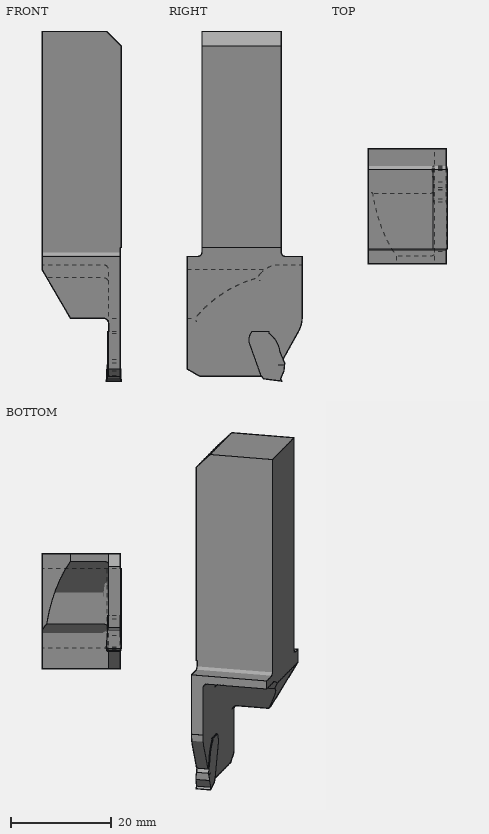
import cadquery as cq

total_height = 69.85
shank_width = 15.85
shank_chamfer = 2.9
shank_bottom = 26.7

head_width = 15.65
head_front = -2.9
head_back = 20.05
head_top = 24.95
shoulder_radius = 0.85
taper_top = 22.3
taper_foot_x = 5.65
head_bottom = 12.6

blade_left = 13.3
blade_bottom = 1.0
blade_corner_z = 11.3
blade_toe_y = 14.3
blade_corner_radius = 5.7
toe_chamfer_y = 2.5
toe_chamfer_z = 1.5
wall_fillet = 1.05

wall_back_z = 23.25
wall_arc_start = (15.45, wall_back_z)
wall_cusp = (11.1, 20.7)
wall_sweep_middle = (5.0, 18.1)
wall_sweep_end = (-1.4, head_bottom)

insert_middle_x = 14.3
insert_thickness = 2.5
tip_width = 3.1
insert_tip = (16.0, 0)
insert_heel = (12.3, 0.5)
crease_end = (15.3, 3.3)


def prism_along_x(sketch, x_start, x_end):
    """Extrude a closed (Y, Z) outline between two X positions."""
    return sketch.extrude(x_end - x_start).translate((x_start, 0, 0))


def insert_outline():
    """Outline of the insert and of its seat, starting at the cutting tip."""
    return (
        cq.Workplane("YZ")
        .moveTo(*insert_tip)
        .lineTo(15.7, 0.5)
        .lineTo(16.4, 2.1)
        .lineTo(16.55, 3.6)
        .lineTo(15.6, 5.9)
        .threePointArc((14.75, 8.2), (13.4, 9.6))
        .lineTo(13.4, 10.0)
        .lineTo(10.05, 10.0)
        .threePointArc((9.5, 9.0), (9.5, 7.55))
        .lineTo(11.8, 1.1)
        .lineTo(*insert_heel)
        .close()
    )


def make_shank():
    shank = cq.Workplane("XY").box(
        shank_width, shank_width, total_height - shank_bottom, centered=False
    ).translate((0, 0, shank_bottom))
    shank = shank.edges(">X and >Z").chamfer(shank_chamfer)
    neck = cq.Workplane("XY").box(
        head_width, shank_width, shank_bottom - head_top, centered=False
    ).translate((0, 0, head_top))
    return shank.union(neck)


def make_head():
    profile = [
        (0, head_top),
        (0, taper_top),
        (taper_foot_x, head_bottom),
        (head_width, head_bottom),
        (head_width, head_top),
    ]
    block = cq.Workplane("XZ", origin=(0, head_back, 0)).polyline(profile).close()
    return block.extrude(head_back - head_front)


def make_clearance():
    """Space left of the blade and below the curved wall."""
    outline = (
        cq.Workplane("YZ")
        .moveTo(head_back, wall_back_z)
        .lineTo(*wall_arc_start)
        .tangentArcPoint(wall_cusp, relative=False)
        .threePointArc(wall_sweep_middle, wall_sweep_end)
        .lineTo(head_front, head_bottom)
        .lineTo(head_front, blade_bottom)
        .lineTo(head_back, blade_bottom)
        .close()
    )
    return prism_along_x(outline, 0, blade_left)


def make_blade():
    outline = cq.Workplane("YZ").polyline([
        (head_back, head_bottom + wall_fillet),
        (head_back, blade_corner_z),
        (blade_toe_y, blade_bottom),
        (head_front + toe_chamfer_y, blade_bottom),
        (head_front, blade_bottom + toe_chamfer_z),
        (head_front, head_bottom + wall_fillet),
    ]).close()
    blade = prism_along_x(outline, blade_left, head_width)
    corner = cq.selectors.NearestToPointSelector((insert_middle_x, head_back, blade_corner_z))
    return blade.edges(corner).fillet(blade_corner_radius)


def make_holder():
    holder = make_head().cut(make_clearance()).union(make_blade()).clean()
    holder = make_shank().union(holder)

    margin = 0.01
    wall_corner = cq.selectors.BoxSelector(
        (blade_left - margin, head_front + margin, head_bottom - margin),
        (blade_left + margin, head_back - margin, wall_back_z + margin),
    )
    holder = holder.edges(wall_corner).fillet(wall_fillet)

    for shoulder_y in (0, shank_width):
        shoulder = cq.selectors.NearestToPointSelector((head_width / 2, shoulder_y, head_top))
        holder = holder.edges(shoulder).fillet(shoulder_radius)

    return holder.cut(prism_along_x(insert_outline(), 0, shank_width))


def make_insert():
    half_body = insert_thickness / 2
    half_tip = tip_width / 2
    body = prism_along_x(insert_outline(), insert_middle_x - half_body, insert_middle_x + half_body)
    tip_stock = prism_along_x(insert_outline(), insert_middle_x - half_tip, insert_middle_x + half_tip)

    flare_plane = cq.Plane(
        origin=(insert_middle_x, *crease_end), xDir=(0, 1, -1), normal=(0, 1, 1)
    )
    flare_length = flare_plane.toLocalCoords(cq.Vector(insert_middle_x, *insert_tip)).x
    flare = (
        cq.Workplane(flare_plane)
        .polyline([
            (0, -half_body),
            (flare_length, -half_tip),
            (flare_length, half_tip),
            (0, half_body),
        ])
        .close()
        .extrude(total_height, both=True)
    )
    crease_z = crease_end[1]
    below_crease = cq.Workplane("XY").rect(total_height, total_height).extrude(crease_z - head_bottom)
    below_crease = below_crease.translate((0, 0, crease_z))
    tip = tip_stock.intersect(flare).intersect(below_crease)
    return body.union(tip)


holder = make_holder()
insert = make_insert()
result = cq.Compound.makeCompound([holder.val(), insert.val()])